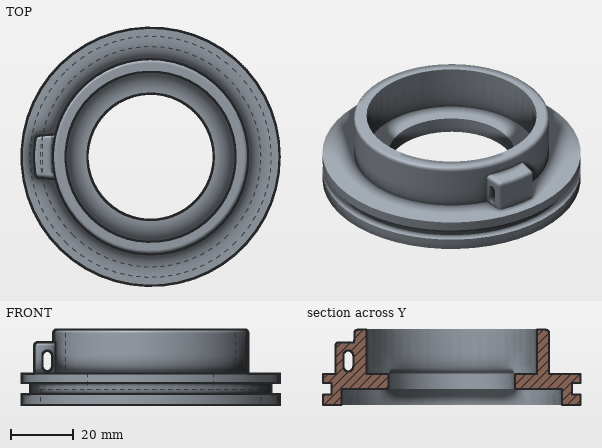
import cadquery as cq
import math

flange_diameter = 82.0
groove_diameter = 76.6
lower_flange_top = 3.5
groove_top = 7.0
flange_top = 10.0

ring_diameter = 62.0
total_height = 24.0
edge_radius = 1.25

recess_diameter = 70.0
hole_diameter = 40.0
bore_diameter = 54.0
web_bottom = 5.0
web_top = flange_top

lug_outer_radius = 37.0
lug_top = 20.0
lug_root_half_width = 7.2
lug_side_angle = 5.5
lug_root_x = -30.0

slot_width = 3.0
slot_height = 6.5
slot_x = -32.8
slot_z = 14.0


def disc(diameter, bottom, top):
    """Solid cylinder about Z between two heights."""
    return cq.Workplane("XY").workplane(offset=bottom).circle(diameter / 2).extrude(top - bottom)


def make_flange():
    """Two rims separated by a shallow groove."""
    lower_rim = disc(flange_diameter, 0, lower_flange_top)
    groove_core = disc(groove_diameter, lower_flange_top, groove_top)
    upper_rim = disc(flange_diameter, groove_top, flange_top)
    return lower_rim.union(groove_core).union(upper_rim)


def make_ring():
    """Raised ring with its outer top edge rounded; the bore is cut later."""
    return disc(ring_diameter, flange_top, total_height).faces(">Z").edges().fillet(edge_radius)


def make_lug():
    """Slotted block with tapering sides and an outer face concentric with the ring."""
    outer_x = -lug_outer_radius
    taper = (lug_root_x - outer_x) * math.tan(math.radians(lug_side_angle))
    outer_half_width = lug_root_half_width - taper
    blank = (
        cq.Workplane("XY")
        .workplane(offset=flange_top)
        .moveTo(lug_root_x, -lug_root_half_width)
        .lineTo(outer_x, -outer_half_width)
        .lineTo(outer_x, outer_half_width)
        .lineTo(lug_root_x, lug_root_half_width)
        .close()
        .extrude(lug_top - flange_top)
    )
    lug = blank.intersect(disc(2 * lug_outer_radius, flange_top, lug_top))
    lug = lug.edges("|Z").edges("<X").fillet(edge_radius)
    lug = lug.faces(">Z").edges("not >X").fillet(edge_radius)
    slot = (
        cq.Workplane("XZ")
        .center(slot_x, slot_z)
        .slot2D(slot_height, slot_width, 90)
        .extrude(lug_root_half_width, both=True)
    )
    return lug.cut(slot)


def make_opening():
    """Underside recess, hole through the web, and upper bore as one cutting body."""
    recess = disc(recess_diameter, 0, web_bottom)
    hole = disc(hole_diameter, web_bottom, web_top)
    bore = disc(bore_diameter, web_top, total_height)
    return recess.union(hole).union(bore)


result = make_flange().union(make_ring()).union(make_lug()).cut(make_opening())